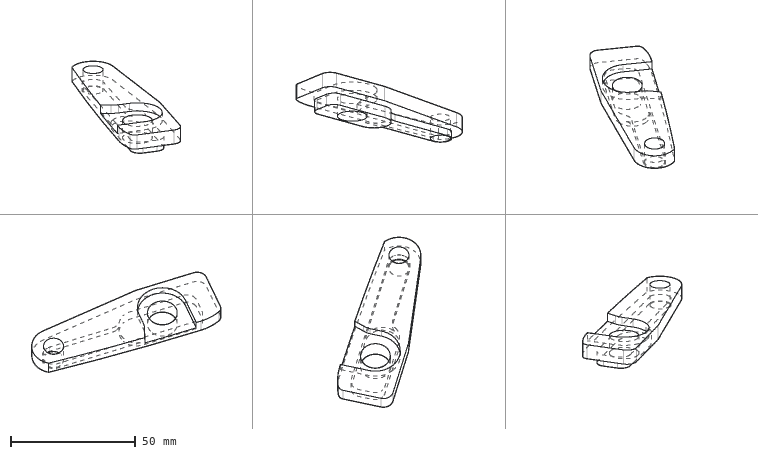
import cadquery as cq
import math


PLATE_THICKNESS = 6.1
RIB_BOTTOM = 9.0
PAD_BOTTOM = 11.0
POCKET_DEPTH = 3.55

HALF_WIDTH = 11.95
PLATE_RIGHT = 22.0
PLATE_LENGTH = 78.7
PLATE_LEFT = PLATE_RIGHT - PLATE_LENGTH
NOSE_RADIUS = 8.8
SHOULDER_X = -6.9
CORNER_RADIUS = 4.0
NOSE_END_DROP = 7.3
BELLY_END_X = 11.95
LOWER_SWEEP_END = (20.45, -10.15)
LOWER_CORNER_TOP_Y = -7.7

BORE_RADIUS = 6.0
SMALL_BORE_RADIUS = 4.0
SMALL_BORE_X = PLATE_LEFT + NOSE_RADIUS
SMALL_BORE_Y = -2.5

POCKET_RADIUS = 10.0
POCKET_BEND_START_Y = -4.7
POCKET_BEND_END = (-10.6, -7.7)
POCKET_MOUTH_X = -12.1

PAD_HALF_WIDTH = 7.0
PAD_ROUND_X = -11.2
PAD_RIGHT = 15.9
RIB_NOSE_RADIUS = PAD_HALF_WIDTH + SMALL_BORE_Y
RIB_TOP_Y = SMALL_BORE_Y + RIB_NOSE_RADIUS
RIB_BLEND_RADIUS = 4.25


def upper_tangent_point(center, radius, target):
    """Point on a circle where the upper tangent through a target on its right touches."""
    dx = target[0] - center[0]
    dy = target[1] - center[1]
    angle = math.atan2(dy, dx) + math.acos(radius / math.hypot(dx, dy))
    return (center[0] + radius * math.cos(angle), center[1] + radius * math.sin(angle))


def make_plate():
    shoulder = (SHOULDER_X, HALF_WIDTH)
    small_bore = (SMALL_BORE_X, SMALL_BORE_Y)
    nose_start = upper_tangent_point(small_bore, NOSE_RADIUS, shoulder)
    nose_end = (
        SMALL_BORE_X - math.sqrt(NOSE_RADIUS**2 - NOSE_END_DROP**2),
        SMALL_BORE_Y - NOSE_END_DROP,
    )
    belly_run = BELLY_END_X - nose_end[0]
    belly_rise = nose_end[1] + HALF_WIDTH
    belly_radius = (belly_run**2 + belly_rise**2) / (2 * belly_rise)
    half_angle = math.asin(belly_run / belly_radius) / 2
    belly_middle = (
        BELLY_END_X - belly_radius * math.sin(half_angle),
        -HALF_WIDTH + belly_radius * (1 - math.cos(half_angle)),
    )
    return (
        cq.Workplane("XY")
        .moveTo(*shoulder)
        .lineTo(*nose_start)
        .threePointArc((PLATE_LEFT, SMALL_BORE_Y), nose_end)
        .threePointArc(belly_middle, (BELLY_END_X, -HALF_WIDTH))
        .tangentArcPoint(LOWER_SWEEP_END, relative=False)
        .tangentArcPoint((PLATE_RIGHT, LOWER_CORNER_TOP_Y), relative=False)
        .lineTo(PLATE_RIGHT, HALF_WIDTH - CORNER_RADIUS)
        .tangentArcPoint((PLATE_RIGHT - CORNER_RADIUS, HALF_WIDTH), relative=False)
        .close()
        .extrude(-PLATE_THICKNESS)
    )


def make_pocket():
    return (
        cq.Workplane("XY")
        .moveTo(POCKET_RADIUS, -HALF_WIDTH)
        .lineTo(POCKET_RADIUS, 0)
        .threePointArc((0, POCKET_RADIUS), (-POCKET_RADIUS, 0))
        .lineTo(-POCKET_RADIUS, POCKET_BEND_START_Y)
        .tangentArcPoint(POCKET_BEND_END, relative=False)
        .lineTo(POCKET_MOUTH_X, -HALF_WIDTH)
        .close()
        .extrude(-POCKET_DEPTH)
    )


def make_pad():
    return (
        cq.Workplane("XY", origin=(0, 0, -PLATE_THICKNESS))
        .moveTo(PAD_ROUND_X, PAD_HALF_WIDTH)
        .threePointArc((PAD_ROUND_X - PAD_HALF_WIDTH, 0), (PAD_ROUND_X, -PAD_HALF_WIDTH))
        .lineTo(PAD_RIGHT, -PAD_HALF_WIDTH)
        .lineTo(PAD_RIGHT, PAD_HALF_WIDTH)
        .close()
        .extrude(PLATE_THICKNESS - PAD_BOTTOM)
        .edges("|Z and >X")
        .fillet(CORNER_RADIUS)
    )


def make_rib():
    center_distance = PAD_HALF_WIDTH + RIB_BLEND_RADIUS
    blend_y = RIB_TOP_Y + RIB_BLEND_RADIUS
    blend_x = PAD_ROUND_X - math.sqrt(center_distance**2 - blend_y**2)
    pad_share = PAD_HALF_WIDTH / center_distance
    join = (PAD_ROUND_X + pad_share * (blend_x - PAD_ROUND_X), pad_share * blend_y)
    return (
        cq.Workplane("XY", origin=(0, 0, -PLATE_THICKNESS))
        .moveTo(PAD_ROUND_X, -PAD_HALF_WIDTH)
        .lineTo(SMALL_BORE_X, -PAD_HALF_WIDTH)
        .threePointArc((SMALL_BORE_X - RIB_NOSE_RADIUS, SMALL_BORE_Y), (SMALL_BORE_X, RIB_TOP_Y))
        .lineTo(blend_x, RIB_TOP_Y)
        .tangentArcPoint(join, relative=False)
        .lineTo(PAD_ROUND_X, join[1])
        .close()
        .extrude(PLATE_THICKNESS - RIB_BOTTOM)
    )


def make_bore(x, y, radius):
    return cq.Workplane("XY").center(x, y).circle(radius).extrude(-PAD_BOTTOM)


result = (
    make_plate()
    .cut(make_pocket())
    .union(make_rib())
    .union(make_pad())
    .cut(make_bore(0, 0, BORE_RADIUS))
    .cut(make_bore(SMALL_BORE_X, SMALL_BORE_Y, SMALL_BORE_RADIUS))
)